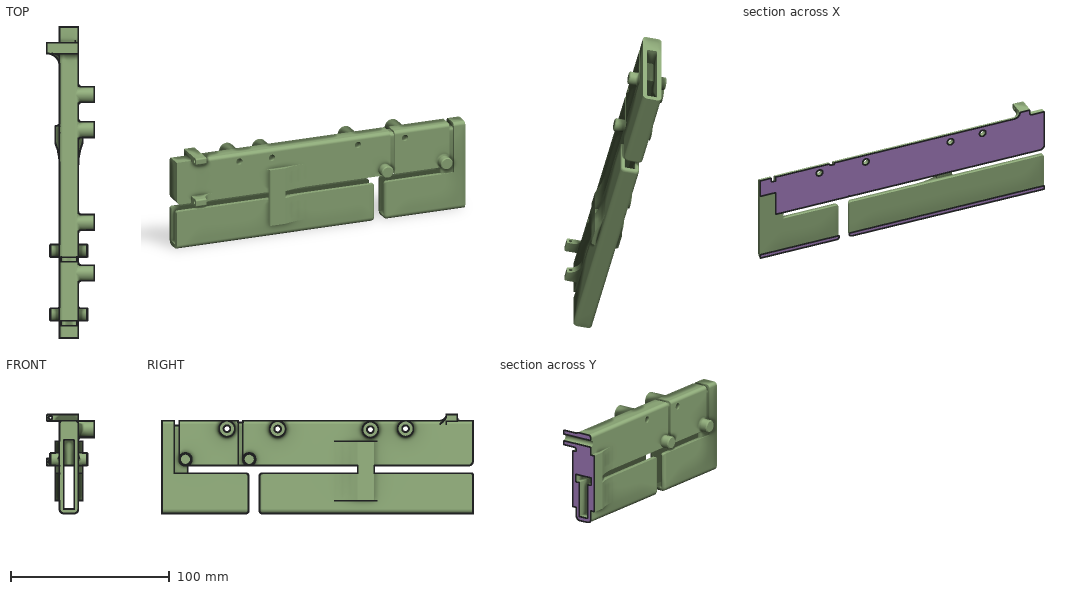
import cadquery as cq
length = 196.0
width = 12.0
half_width = width / 2
top_z = 58.6
top_radius = 2.2
bottom_radius = 3.0
end_radius = 2.0

gap_bottom = 25.5
gap_top = 30.2
upper_end_radius = 3.0
lower_end_radius = 1.2

channel_width = 6.5
channel_floor = 3.0
column_slot_top = 46.6
slot_corner_radius = 1.0

column_depth = 7.8
neck_length = 3.0
neck_inset = 1.0
front_neck_drop = 3.0
rear_neck_drop = 1.2
front_neck_end = column_depth + neck_length
rear_neck_start = 48.0
rear_neck_end = rear_neck_start + neck_length
web_end = 16.3

break_start = 54.7
break_end = 61.3
mouth_bevel = 0.5

pin_diameter = 8.0
pin_length = 24.0
pin_end_chamfer = 0.5
pin_z = gap_top + pin_diameter / 2
front_pin_y = front_neck_end + pin_diameter / 2
rear_pin_y = rear_neck_end + pin_diameter / 2
pin_root_radius = 1.0

boss_diameter = 10.0
boss_bore = 4.1
boss_reach = 10.0
boss_root_radius = 1.5
boss_margin = 0.2
boss_centres = [(41.0, 53.5), (73.0, 53.3), (131.3, 53.0), (153.5, 53.5)]

clip_thickness = 2.7
clip_bottom = 8.2
clip_top = 45.7
clip_front = 123.3
clip_back = 133.9
clip_ramp_radius = 40.0
clip_corner_radius = 1.2
clip_root_radius = clip_thickness - clip_corner_radius

tab_front = 179.1
tab_back = 186.2
upper_tab_height = 4.3
lower_tab_height = 4.7
tab_reach = 8.0
tab_end_radius = 1.0
tab_back_radius = 1.2
tab_tip_x = -half_width - tab_reach
upper_tab_top = 62.5
upper_tab_bottom = upper_tab_top - upper_tab_height
tab_hole_diameter = 2.2
tab_hole_inset = 2.4
lower_gusset_radius = 7.6
upper_gusset_radius = upper_tab_top - top_z


def block(x_range, y_range, z_range):
    """Box between the given pairs of limits."""
    (x0, x1), (y0, y1), (z0, z1) = x_range, y_range, z_range
    return cq.Workplane("XY").box(x1 - x0, y1 - y0, z1 - z0, centered=False).translate((x0, y0, z0))


def across(half, y_range, z_range):
    """Box centred on the middle plane of the bar."""
    return block((-half, half), y_range, z_range)


def cross_cylinder(x0, x1, y, z, diameter):
    """Cylinder along X."""
    return cq.Workplane("YZ", origin=(x0, y, z)).circle(diameter / 2).extrude(x1 - x0)


def root_flare(x, direction, y, z, diameter, radius):
    """Concave ring that blends a cylinder along X into a side face at the given X."""
    inner = diameter / 2
    profile = (
        cq.Workplane("XY", origin=(x, y, z))
        .lineTo(direction * radius, 0)
        .lineTo(direction * radius, inner)
        .radiusArc((0, inner + radius), direction * radius)
        .close()
    )
    return profile.revolve(360, (0, 0, 0), (1, 0, 0))


def upper_bar():
    """Solid upper bar; its -X top edge is rounded only up to the tab."""
    rounded = across(half_width, (0, tab_front), (gap_top, top_z))
    rounded = rounded.edges("|Y and >Z").fillet(top_radius)
    square = across(half_width, (tab_front, length), (gap_top, top_z))
    square = square.edges("|Y and >Z and >X").fillet(top_radius)
    square = square.edges("|X and >Y and <Z").fillet(upper_end_radius)
    return rounded.union(square)


def lower_segment(y0, y1, broken_end):
    """Length of the lower channel, rounded below and at the end that faces the break."""
    segment = across(half_width, (y0, y1), (0, gap_bottom))
    segment = segment.edges("|Y and <Z").fillet(bottom_radius)
    return segment.faces(broken_end).edges().fillet(end_radius)


def channel_mouth(y_inner, direction):
    """Cutter that bevels the channel's inner edges at the break, widening along Y."""
    plane = cq.Plane(origin=(0, y_inner, channel_floor), xDir=(1, 0, 0), normal=(0, direction, 0))
    rise = (gap_top - channel_floor) * -direction
    profile = cq.Workplane(plane).center(0, rise / 2).rect(channel_width, abs(rise))
    return profile.extrude(mouth_bevel, taper=-45)


def neck_groove(y_range, z_bottom, drop):
    """Band of material removed around a neck."""
    neck = across(half_width - neck_inset, y_range, (z_bottom, top_z - drop))
    neck = neck.edges("|Y and >Z").fillet(top_radius)
    return across(width, y_range, (z_bottom, top_z + drop)).cut(neck)


def pin_corner(y_neck, y_pin):
    """Side skins removed below a pin so that the bar's corner follows the pin's outline."""
    corner = across(width, (y_neck, y_pin), (gap_top, pin_z))
    core = across(half_width - neck_inset, (y_neck, y_pin), (gap_top, pin_z))
    return corner.cut(core).cut(cross_cylinder(-width, width, y_pin, pin_z, pin_diameter))


def column_web():
    """Web across the gap that joins the upper bar and the lower channel to the column."""
    column = across(half_width, (0, column_depth), (gap_bottom, gap_top))
    web = across(half_width - neck_inset, (column_depth, web_end), (gap_bottom, gap_top))
    return column.union(web.edges("|Z and >Y").fillet(end_radius))


def channel():
    """Void of the lower channel and the taller slot through the column."""
    half = channel_width / 2
    slot = across(half, (0, front_neck_end), (channel_floor, column_slot_top))
    slot = slot.edges("|Y and >Z").fillet(slot_corner_radius)
    return across(half, (0, length), (channel_floor, gap_top)).union(slot)


def pin(y):
    """Cross pin with chamfered ends."""
    half = pin_length / 2
    return cross_cylinder(-half, half, y, pin_z, pin_diameter).faces("<X or >X").chamfer(pin_end_chamfer)


def pin_flares():
    """Blends at the front pin, kept on the flat sides of the upper bar."""
    keep = across(width, (front_neck_end, rear_neck_start), (gap_top, top_z))
    flares = root_flare(half_width, 1, front_pin_y, pin_z, pin_diameter, pin_root_radius)
    flares = flares.union(root_flare(-half_width, -1, front_pin_y, pin_z, pin_diameter, pin_root_radius))
    return flares.intersect(keep)


def boss(y, z):
    """Boss filleted into a short stretch of the rounded side of the bar."""
    reach_y = boss_diameter / 2 + boss_root_radius + boss_margin
    patch = block((0, half_width), (y - reach_y, y + reach_y), (gap_top, top_z))
    patch = patch.edges("|Y and >Z and >X").fillet(top_radius)
    post = cross_cylinder(0, half_width + boss_reach, y, z, boss_diameter)
    root_low = (half_width - top_radius, y - reach_y + boss_margin, gap_top + boss_margin)
    root_high = (half_width + boss_margin, y + reach_y - boss_margin, top_z + boss_margin)
    return patch.union(post).edges(cq.selectors.BoxSelector(root_low, root_high)).fillet(boss_root_radius)


def clip():
    """Clip on the -X side: concave ramp, flat face, rounded back corner and filleted root."""
    face_x = -half_width - clip_thickness
    ramp_run = (clip_ramp_radius**2 - (clip_ramp_radius - clip_thickness) ** 2) ** 0.5
    body = (
        cq.Workplane("XY", origin=(0, 0, clip_bottom))
        .moveTo(-half_width, clip_front - ramp_run)
        .radiusArc((face_x, clip_front), -clip_ramp_radius)
        .lineTo(face_x, clip_back - clip_corner_radius)
        .radiusArc((face_x + clip_corner_radius, clip_back), clip_corner_radius)
        .radiusArc((-half_width, clip_back + clip_root_radius), -clip_root_radius)
        .close()
        .extrude(clip_top - clip_bottom)
    )
    gap = across(width, (0, length), (gap_bottom, gap_top))
    bridge = across(width, (clip_front, clip_back), (gap_bottom, gap_top))
    return body.cut(gap.cut(bridge))


def tab(x_end, z_bottom, height):
    """Cross tab with a rounded tip."""
    plate = block((tab_tip_x, x_end), (tab_front, tab_back), (z_bottom, z_bottom + height))
    return plate.edges("|Y and <X").fillet(tab_end_radius)


def lower_gusset():
    """Concave web from the lower tab to the side of the bar."""
    return (
        cq.Workplane("XY", origin=(0, 0, gap_top))
        .moveTo(-half_width, tab_front - lower_gusset_radius)
        .radiusArc((-half_width - lower_gusset_radius, tab_front), -lower_gusset_radius)
        .lineTo(-half_width, tab_front)
        .close()
        .extrude(lower_tab_height)
    )


def upper_gusset():
    """Concave blend from the upper tab to the top of the bar, swung round the rounded top edges."""
    axis_x = half_width - top_radius
    axis_z = top_z - top_radius
    radius = upper_gusset_radius

    def profile(x):
        return (
            cq.Workplane("YZ", origin=(x, tab_front, axis_z))
            .lineTo(-radius, 0)
            .lineTo(-radius, top_radius)
            .radiusArc((0, top_radius + radius), -radius)
            .close()
        )

    blend = profile(-axis_x).extrude(2 * axis_x)
    for x in (-axis_x, axis_x):
        blend = blend.union(profile(x).revolve(360, (0, 0, 0), (1, 0, 0)))
    keep = block((tab_tip_x, half_width), (0, tab_front), (upper_tab_bottom, upper_tab_top))
    keep = keep.union(across(half_width, (0, tab_front), (axis_z, upper_tab_top)))
    return blend.intersect(keep)


def tab_back_fillet():
    """Small concave fillet between the back of the upper tab and the top of the bar."""
    return (
        cq.Workplane("YZ", origin=(-half_width, tab_back, top_z))
        .lineTo(tab_back_radius, 0)
        .radiusArc((0, tab_back_radius), tab_back_radius)
        .close()
        .extrude(width - top_radius)
    )


def tab_hole(z):
    """Hole along Y near the tip of a tab."""
    hole = cq.Workplane("XZ", origin=(tab_tip_x + tab_hole_inset, tab_back, z))
    return hole.circle(tab_hole_diameter / 2).extrude(tab_back - tab_front + lower_gusset_radius)


body = upper_bar()
for boss_y, boss_z in boss_centres:
    body = body.union(boss(boss_y, boss_z))
    body = body.cut(cross_cylinder(-width, 2 * width, boss_y, boss_z, boss_bore))

column_segment = lower_segment(0, break_start, ">Y")
far_segment = lower_segment(break_end, length, "<Y")
far_segment = far_segment.edges("|X and >Y and >Z").fillet(lower_end_radius)
body = body.union(column_segment).union(far_segment)
body = body.union(column_web())
body = body.cut(neck_groove((column_depth, front_neck_end), gap_bottom, front_neck_drop))
body = body.cut(neck_groove((rear_neck_start, rear_neck_end), gap_top, rear_neck_drop))
body = body.cut(channel())
body = body.cut(channel_mouth(break_start - mouth_bevel, 1))
body = body.cut(channel_mouth(break_end + mouth_bevel, -1))

for pin_y in (front_pin_y, rear_pin_y):
    body = body.union(pin(pin_y))
body = body.union(pin_flares())
body = body.cut(pin_corner(front_neck_end, front_pin_y))
body = body.cut(pin_corner(rear_neck_end, rear_pin_y))

body = body.union(clip()).union(clip().mirror("YZ"))

body = body.union(tab(half_width, upper_tab_bottom, upper_tab_height)).union(upper_gusset()).union(tab_back_fillet())
body = body.union(tab(-half_width, gap_top, lower_tab_height)).union(lower_gusset())
body = body.cut(tab_hole(upper_tab_bottom + upper_tab_height / 2))
body = body.cut(tab_hole(gap_top + lower_tab_height / 2))

result = body